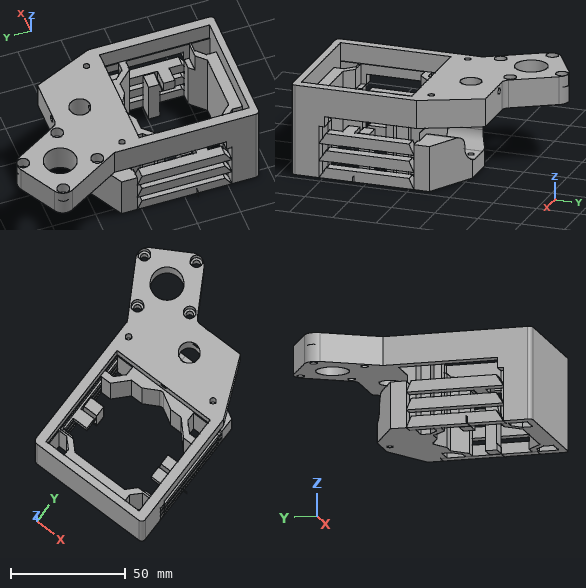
import cadquery as cq
import math


BOX_HALF_WIDTH = 30.0
TOTAL_HEIGHT = 41.8
TOTAL_DEPTH = 109.8
FRONT_CORNER_RADIUS = 2.0
PLATE_THICKNESS = 13.1
PLATE_BOTTOM = TOTAL_HEIGHT - PLATE_THICKNESS
PLATE_BACK_Y = 85.8
PLATE_BACK_RIGHT_X = 18.1
PLATE_SIDE_END_Y = 58.1

ARM_ANGLE = 30.0
ARM_HALF_SIDE = 15.0
ARM_CORNER_RADIUS = 5.5
ARM_LEFT_X = -44.9
ARM_BLEND_RADIUS = 3.5
ARM_BORE_DIAMETER = 14.7
ARM_SCREW_SPACING = 23.0
SCREW_DIAMETER = 3.3
SCREW_HEAD_DIAMETER = 5.5
SCREW_HEAD_DEPTH = 5.3
COS_ARM = math.cos(math.radians(ARM_ANGLE))
SIN_ARM = math.sin(math.radians(ARM_ANGLE))
ARM_REACH = (ARM_HALF_SIDE - ARM_CORNER_RADIUS) * (COS_ARM + SIN_ARM) + ARM_CORNER_RADIUS
ARM_X = ARM_LEFT_X + ARM_REACH
ARM_Y = TOTAL_DEPTH - ARM_REACH

SMALL_HOLE_DIAMETER = 2.7
PLATE_HOLE_BOTTOM = 33.0
PLATE_HOLES = [(-25.3, 62.3), (21.3, 62.0)]
ACCESS_DIAMETER = 9.5
ACCESS_Y = 72.7
CROSS_HOLE_Z = 39.0

WINDOW_HALF = 25.5
WINDOW_MID_Y = 28.9
WINDOW_FRONT_Y = WINDOW_MID_Y - WINDOW_HALF
WINDOW_BACK_Y = WINDOW_MID_Y + WINDOW_HALF
FRAME_TOP = 33.4
INNER_HALF = 25.0
INNER_BACK_Y = WINDOW_MID_Y + INNER_HALF
DUCT_HALF_DEPTH = 20.2
DUCT_FLAT_HALF = 13.6
DUCT_SIDE_X = 20.1
DUCT_SIDE_HALF = 13.5
CORNER_INNER_X = 16.8
CORNER_DIAGONAL_X = 20.9
CORNER_DIAGONAL = CORNER_DIAGONAL_X - CORNER_INNER_X
BAR_WIDTH = 3.3
ROOF_SLOPE = math.tan(math.radians(29))
NOTCH_HALF = 7.9
NOTCH_RADIUS = 2.2

BLOCK_TOP = 21.1
BLOCK_SIDE_Y = 64.1
BLOCK_BACK_Y = 76.3
NECK_BACK_Y = 57.8
GUSSET = 4.0
CHANNEL_HALF = 24.1 / 2
CHANNEL_FLOOR = 7.9
CHANNEL_FLOOR_RADIUS = 7.1
CHANNEL_LIP_RADIUS = 4.4

OPENING_FRONT_Y = 13.0
OPENING_STEP_Y = 15.6
OPENING_STEP_Z = 24.1
OPENING_BACK_Y = 56.9
BLADE_COUNT = 3
BLADE_PITCH = 8.0
BLADE_INNER_X = INNER_HALF
BLADE_HEIGHT = BLOCK_TOP - (BLADE_COUNT - 1) * BLADE_PITCH
BLADE_TOP_FRONT_Y = 16.3
BLADE_TOP_BACK_Y = 54.7

SHELF_INNER_X = 17.6
SHELF_FRONT_Y = 22.3
SHELF_BACK_Y = 27.7
LATCH_OUTER_X = 24.6
LATCH_FRONT_Y = 29.3
LATCH_BACK_Y = 34.5
NOSE_REACH = 1.3
TAB_THICKNESS = 0.1
TAB_HEIGHT = 3.0
TAB_END_X = 32.1


def box(x0, x1, y0, y1, z0, z1):
    return cq.Workplane("XY").box(x1 - x0, y1 - y0, z1 - z0, centered=False).translate((x0, y0, z0))


def prism(points, z0, z1):
    return cq.Workplane("XY").workplane(offset=z0).polyline(points).close().extrude(z1 - z0)


def x_prism(points, x0, x1):
    return cq.Workplane("YZ").workplane(offset=x0).polyline(points).close().extrude(x1 - x0)


def y_cylinder(diameter, x, z, y0, y1):
    return cq.Workplane("XZ").workplane(offset=-y1).center(x, z).circle(diameter / 2).extrude(y1 - y0)


def drill(points, diameter, z0, z1):
    return cq.Workplane("XY").workplane(offset=z0).pushPoints(points).circle(diameter / 2).extrude(z1 - z0)


def mirrored(body):
    return body.mirror("YZ")


def arm_point(along, across):
    """A point given in the arm's own turned axes."""
    return (
        ARM_X + along * COS_ARM - across * SIN_ARM,
        ARM_Y + along * SIN_ARM + across * COS_ARM,
    )


def plate():
    arm_left_y = ARM_Y + (-ARM_HALF_SIDE - (-BOX_HALF_WIDTH - ARM_X) * COS_ARM) / SIN_ARM
    arm_right_x = ARM_X + (ARM_HALF_SIDE - (PLATE_BACK_Y - ARM_Y) * SIN_ARM) / COS_ARM
    outline = [
        (-BOX_HALF_WIDTH, 0),
        (BOX_HALF_WIDTH, 0),
        (BOX_HALF_WIDTH, PLATE_SIDE_END_Y),
        (PLATE_BACK_RIGHT_X, PLATE_BACK_Y),
        (arm_right_x, PLATE_BACK_Y),
        arm_point(ARM_HALF_SIDE, ARM_HALF_SIDE),
        arm_point(-ARM_HALF_SIDE, ARM_HALF_SIDE),
        (-BOX_HALF_WIDTH, arm_left_y),
    ]
    body = prism(outline, PLATE_BOTTOM, TOTAL_HEIGHT)
    for corner in (arm_point(ARM_HALF_SIDE, ARM_HALF_SIDE), arm_point(-ARM_HALF_SIDE, ARM_HALF_SIDE)):
        body = body.edges(cq.selectors.NearestToPointSelector((*corner, PLATE_BOTTOM + PLATE_THICKNESS / 2)))
        body = body.fillet(ARM_CORNER_RADIUS)
    inner = (arm_right_x, PLATE_BACK_Y, PLATE_BOTTOM + PLATE_THICKNESS / 2)
    return body.edges(cq.selectors.NearestToPointSelector(inner)).fillet(ARM_BLEND_RADIUS)


def block():
    back_half = BOX_HALF_WIDTH - (BLOCK_BACK_Y - BLOCK_SIDE_Y) / ROOF_SLOPE
    outline = [
        (-BOX_HALF_WIDTH, 0),
        (BOX_HALF_WIDTH, 0),
        (BOX_HALF_WIDTH, BLOCK_SIDE_Y),
        (back_half, BLOCK_BACK_Y),
        (-back_half, BLOCK_BACK_Y),
        (-BOX_HALF_WIDTH, BLOCK_SIDE_Y),
    ]
    return prism(outline, 0, BLOCK_TOP)


def channel():
    """Rounded trough across the back of the block, open at the top with rounded lips."""
    lip_half = CHANNEL_HALF + CHANNEL_LIP_RADIUS
    cutter = box(-lip_half, lip_half, NECK_BACK_Y, BLOCK_BACK_Y, BLOCK_TOP - CHANNEL_LIP_RADIUS, BLOCK_TOP)
    for side in (-1, 1):
        cutter = cutter.cut(
            y_cylinder(2 * CHANNEL_LIP_RADIUS, side * lip_half, BLOCK_TOP - CHANNEL_LIP_RADIUS,
                       NECK_BACK_Y, BLOCK_BACK_Y)
        )
    trough = box(-CHANNEL_HALF, CHANNEL_HALF, NECK_BACK_Y, BLOCK_BACK_Y, CHANNEL_FLOOR, BLOCK_TOP)
    return cutter.union(trough.edges("|Y and <Z").fillet(CHANNEL_FLOOR_RADIUS))


def neck():
    points = [
        (0, BLOCK_TOP),
        (NECK_BACK_Y, BLOCK_TOP),
        (NECK_BACK_Y, PLATE_BOTTOM - GUSSET),
        (NECK_BACK_Y + GUSSET, PLATE_BOTTOM),
        (0, PLATE_BOTTOM),
    ]
    return x_prism(points, -BOX_HALF_WIDTH, BOX_HALF_WIDTH)


def duct():
    """Eight-sided air passage with a rounded V notch in its back side."""
    front_y = WINDOW_MID_Y - DUCT_HALF_DEPTH
    back_y = WINDOW_MID_Y + DUCT_HALF_DEPTH
    side_front_y = WINDOW_MID_Y - DUCT_SIDE_HALF
    side_back_y = WINDOW_MID_Y + DUCT_SIDE_HALF
    right = [
        (DUCT_FLAT_HALF, front_y),
        (DUCT_SIDE_X, side_front_y),
        (INNER_HALF, side_front_y),
        (INNER_HALF, side_back_y),
        (DUCT_SIDE_X, side_back_y),
        (DUCT_FLAT_HALF, back_y),
        (NOTCH_HALF, back_y),
    ]
    left = [(-x, y) for x, y in reversed(right)]
    peak = (0, back_y + NOTCH_HALF * ROOF_SLOPE)
    passage = prism([*right, peak, *left], 0, FRAME_TOP)
    return passage.edges(cq.selectors.NearestToPointSelector((*peak, FRAME_TOP / 2))).fillet(NOTCH_RADIUS)


def corner_pockets():
    """Four through pockets between the duct and the box corners."""
    bar_offset = DUCT_SIDE_HALF + BAR_WIDTH
    pockets = None
    for end, wall_y in ((1, INNER_BACK_Y), (-1, WINDOW_FRONT_Y)):
        bar_y = WINDOW_MID_Y + end * bar_offset
        points = [
            (INNER_HALF, wall_y),
            (INNER_HALF, bar_y),
            (CORNER_DIAGONAL_X, bar_y),
            (CORNER_INNER_X, bar_y + end * CORNER_DIAGONAL),
            (CORNER_INNER_X, wall_y),
        ]
        pocket = prism(points, 0, FRAME_TOP)
        pair = pocket.union(mirrored(pocket))
        pockets = pair if pockets is None else pockets.union(pair)
    return pockets


def side_opening():
    """Opening through the right wall, with a stepped front end."""
    points = [
        (OPENING_FRONT_Y, 0),
        (OPENING_FRONT_Y, OPENING_STEP_Z),
        (OPENING_STEP_Y, OPENING_STEP_Z),
        (OPENING_STEP_Y, PLATE_BOTTOM),
        (NECK_BACK_Y, PLATE_BOTTOM),
        (NECK_BACK_Y, BLOCK_TOP),
        (OPENING_BACK_Y, BLOCK_TOP),
        (OPENING_BACK_Y, 0),
    ]
    opening = x_prism(points, INNER_HALF, BOX_HALF_WIDTH)
    behind_neck = box(INNER_HALF, BOX_HALF_WIDTH, NECK_BACK_Y, BLOCK_SIDE_Y, BLOCK_TOP, PLATE_BOTTOM)
    return opening.union(behind_neck)


def louvers():
    """Right-hand blades with sloping ends."""
    stack = None
    for row in range(BLADE_COUNT):
        bottom = row * BLADE_PITCH
        points = [
            (OPENING_FRONT_Y, bottom),
            (OPENING_BACK_Y, bottom),
            (BLADE_TOP_BACK_Y, bottom + BLADE_HEIGHT),
            (BLADE_TOP_FRONT_Y, bottom + BLADE_HEIGHT),
        ]
        blade = x_prism(points, BLADE_INNER_X, BOX_HALF_WIDTH)
        stack = blade if stack is None else stack.union(blade)
    return stack


def shelf():
    return box(SHELF_INNER_X, BLADE_INNER_X, SHELF_FRONT_Y, SHELF_BACK_Y, BLOCK_TOP - BLADE_HEIGHT, BLOCK_TOP)


def tab():
    return box(SHELF_INNER_X, TAB_END_X, LATCH_FRONT_Y - TAB_THICKNESS, LATCH_FRONT_Y, 0, TAB_HEIGHT)


def latch():
    """Right-hand latch: a post with a sloped nose and a thin tab through the lowest blade."""
    nose_y = LATCH_FRONT_Y - NOSE_REACH
    nose_bottom = BLOCK_TOP - BLADE_HEIGHT
    points = [
        (LATCH_BACK_Y, 0),
        (LATCH_BACK_Y, BLOCK_TOP),
        (LATCH_FRONT_Y, BLOCK_TOP),
        (nose_y, nose_bottom),
        (LATCH_FRONT_Y, nose_bottom),
        (LATCH_FRONT_Y, 0),
    ]
    return x_prism(points, SHELF_INNER_X, LATCH_OUTER_X).union(tab())


def housing():
    body = plate().union(block()).union(neck())
    body = body.edges("|Z and <Y").fillet(FRONT_CORNER_RADIUS)
    body = body.cut(box(-WINDOW_HALF, WINDOW_HALF, WINDOW_FRONT_Y, WINDOW_BACK_Y, FRAME_TOP, TOTAL_HEIGHT))
    body = body.cut(duct()).cut(corner_pockets()).cut(channel())
    body = body.cut(box(-INNER_HALF, INNER_HALF, OPENING_FRONT_Y, OPENING_STEP_Y, OPENING_STEP_Z, FRAME_TOP))

    right_side = louvers().union(shelf()).cut(tab())
    for opening, filling in (
        (side_opening(), right_side),
        (mirrored(side_opening()), mirrored(right_side)),
    ):
        body = body.cut(opening).union(filling)

    half_spacing = ARM_SCREW_SPACING / 2
    screws = [arm_point(a, b) for a in (-half_spacing, half_spacing) for b in (-half_spacing, half_spacing)]
    body = body.cut(drill([(ARM_X, ARM_Y)], ARM_BORE_DIAMETER, PLATE_BOTTOM, TOTAL_HEIGHT))
    body = body.cut(drill(screws, SCREW_DIAMETER, PLATE_BOTTOM, TOTAL_HEIGHT))
    body = body.cut(drill(screws, SCREW_HEAD_DIAMETER, TOTAL_HEIGHT - SCREW_HEAD_DEPTH, TOTAL_HEIGHT))
    body = body.cut(drill(PLATE_HOLES, SMALL_HOLE_DIAMETER, PLATE_HOLE_BOTTOM, TOTAL_HEIGHT))
    body = body.cut(drill([(0, ACCESS_Y)], ACCESS_DIAMETER, PLATE_BOTTOM, TOTAL_HEIGHT))
    body = body.cut(drill([(0, ACCESS_Y)], SMALL_HOLE_DIAMETER, 0, BLOCK_TOP))
    return body.cut(y_cylinder(SMALL_HOLE_DIAMETER, 0, CROSS_HOLE_Z, WINDOW_MID_Y, PLATE_BACK_Y))


right_latch = latch()
latches = [body.val() for body in (right_latch, mirrored(right_latch))]
result = cq.Compound.makeCompound([*housing().vals(), *latches])